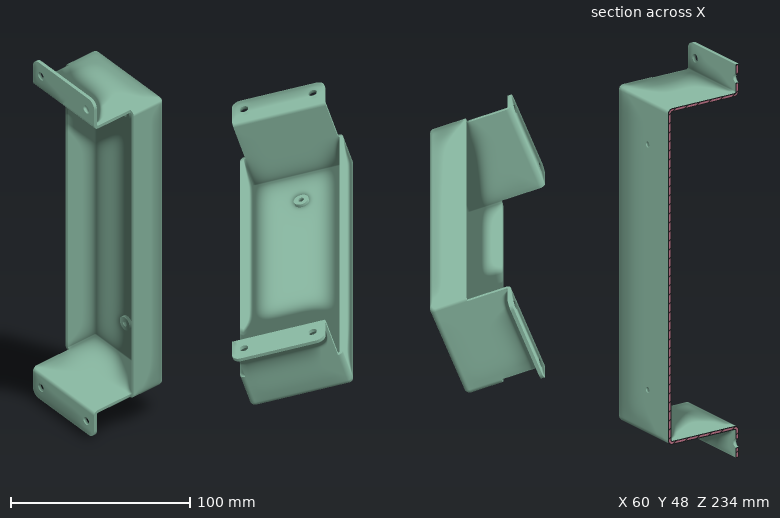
import cadquery as cq

sheet = 2.0
inner_radius = 1.0
outer_radius = inner_radius + sheet

tray_width = 60.0
tray_height = 200.0
tray_depth = 22.0

overall_depth = 48.0
overall_height = 234.0
tab_width = tray_width - 2 * outer_radius
tab_corner_radius = 5.0
mount_hole_diameter = 5.0
mount_hole_spacing = 40.0
mount_hole_edge_distance = 8.5

standoff_diameter = 8.6
standoff_height = 2.0
standoff_hole_diameter = 3.4
standoff_spacing = 146.0

back_y = overall_depth / 2
front_y = -overall_depth / 2
tray_rim_y = back_y - tray_depth
panel_inner_y = back_y - sheet
wall_outer_z = tray_height / 2
wall_inner_z = wall_outer_z - sheet
tab_end_z = overall_height / 2


def rounded_box(width, height, rear_y, radius):
    """Box from the tray rim to rear_y, rounded on every edge except around the rim."""
    box = (
        cq.Workplane("XZ", origin=(0, rear_y, 0))
        .rect(width, height)
        .extrude(rear_y - tray_rim_y)
    )
    return box.edges("|Y or >Y").fillet(radius)


def make_tray():
    outside = rounded_box(tray_width, tray_height, back_y, outer_radius)
    inside = rounded_box(tray_width - 2 * sheet, tray_height - 2 * sheet, panel_inner_y, inner_radius)
    return outside.cut(inside)


def make_top_tab():
    """Z-bent strip that continues the top wall forward and turns up into a drilled flange."""
    strip = (
        cq.Workplane("YZ")
        .moveTo(tray_rim_y, wall_inner_z)
        .lineTo(front_y + outer_radius, wall_inner_z)
        .radiusArc((front_y, wall_inner_z + outer_radius), outer_radius)
        .lineTo(front_y, tab_end_z)
        .lineTo(front_y + sheet, tab_end_z)
        .lineTo(front_y + sheet, wall_outer_z + inner_radius)
        .radiusArc((front_y + outer_radius, wall_outer_z), -inner_radius)
        .lineTo(tray_rim_y, wall_outer_z)
        .close()
        .extrude(tab_width / 2, both=True)
    )
    strip = strip.faces(">Z").edges("|Y").fillet(tab_corner_radius)
    hole_z = tab_end_z - mount_hole_edge_distance
    holes = (
        cq.Workplane("XZ", origin=(0, front_y + sheet, 0))
        .pushPoints([(side * mount_hole_spacing / 2, hole_z) for side in (-1, 1)])
        .circle(mount_hole_diameter / 2)
        .extrude(sheet)
    )
    return strip.cut(holes)


def standoff_cylinders(diameter, rear_y, length):
    """Pair of cylinders at the standoff positions, reaching forward from rear_y."""
    return (
        cq.Workplane("XZ", origin=(0, rear_y, 0))
        .pushPoints([(0, side * standoff_spacing / 2) for side in (-1, 1)])
        .circle(diameter / 2)
        .extrude(length)
    )


top_tab = make_top_tab()
bottom_tab = top_tab.mirror("XY")
standoffs = standoff_cylinders(standoff_diameter, panel_inner_y, standoff_height)
standoff_holes = standoff_cylinders(standoff_hole_diameter, back_y, sheet + standoff_height)

result = make_tray().union(top_tab).union(bottom_tab).union(standoffs).cut(standoff_holes)